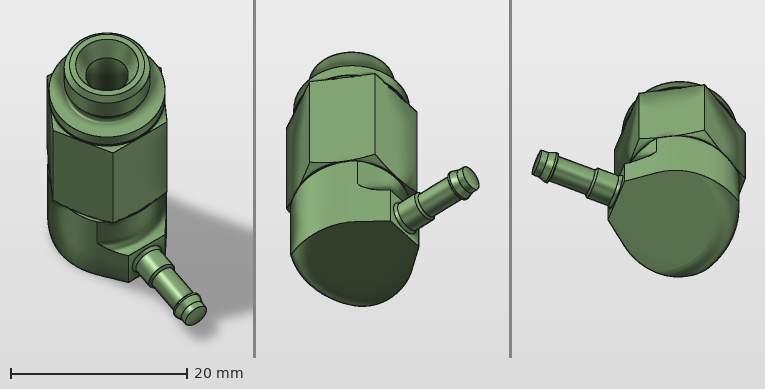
import cadquery as cq
import math

TOTAL_HEIGHT = 31.8
HEX_TOP = 25.05
HEX_BOTTOM = 10.72
ELBOW_TOP = 10.43

THREAD_RADIUS = 9.73 / 2
THREAD_CHAMFER = 0.6
THREAD_BOTTOM = 28.5
UNDERCUT_RADIUS = 8.55 / 2
UNDERCUT_CONE_RADIUS = 4.42
UNDERCUT_CONE_BOTTOM = 28.05
UNDERCUT_TOP = 27.75
COLLAR_RADIUS = 13.15 / 2
COLLAR_TOP = 26.95
COLLAR_BOTTOM = 25.35
UNDERCUT_FILLET = 0.55

ACROSS_FLATS = 13.0
ACROSS_CORNERS = ACROSS_FLATS / math.cos(math.radians(30))
SHOULDER_RADIUS = ACROSS_FLATS / 2
HEX_CHAMFER_ANGLE = 30
JOINT_RADIUS = THREAD_RADIUS

BORE_RADIUS = 4.8 / 2
BORE_MOUTH_RADIUS = 3.55
BORE_HALF_ANGLE = 30
BORE_DEPTH = 9.55

BODY_HALF_SIZE = ACROSS_FLATS / 2
SIDE_ARC_RADIUS = 7.85
BACK_CORNER_X = -5.5
FRONT_CORNER_X = 4.83
BODY_FILLET = 2.58

BLOCK_END = 7.8
BLOCK_TOP = 5.28
BLOCK_FILLET = BLOCK_END - BODY_HALF_SIZE
STEM_Z = 2.6
STEM_ROOT_RADIUS = 2.0
STEM_RADIUS = 3.6 / 2
HOSE_RADIUS = 3.0 / 2
STEM_ROOT_END = 8.2
STEM_END = 10.72
HOSE_START = 10.97
BARB_START = 15.5
BARB_CREST_START = 15.58
BARB_CREST_END = 15.85
BARB_END = 16.7
STEM_TIP_TAPER_START = 17.3
STEM_TIP = 17.5
STEM_TIP_RADIUS = 1.45


def side_y(x):
    """Half width of the elbow body on its side arc."""
    return math.sqrt(SIDE_ARC_RADIUS**2 - x**2) - (SIDE_ARC_RADIUS - BODY_HALF_SIZE)


def arc_radius(rise, half_chord):
    return (rise**2 + half_chord**2) / (2 * rise)


BACK_CORNER_Y = side_y(BACK_CORNER_X)
FRONT_CORNER_Y = side_y(FRONT_CORNER_X)
BACK_ARC_RADIUS = arc_radius(BODY_HALF_SIZE + BACK_CORNER_X, BACK_CORNER_Y)
FRONT_ARC_RADIUS = arc_radius(BODY_HALF_SIZE - FRONT_CORNER_X, FRONT_CORNER_Y)
BLOCK_SLOPE = FRONT_CORNER_X / math.sqrt(SIDE_ARC_RADIUS**2 - FRONT_CORNER_X**2)
BLOCK_END_Y = FRONT_CORNER_Y - BLOCK_SLOPE * (BLOCK_END - FRONT_CORNER_X)


def make_plug():
    """Turned plug with collar and shoulder, reaching down to the hexagon."""
    arc_mid = UNDERCUT_FILLET * (1 - math.sqrt(0.5))
    return (
        cq.Workplane("XZ")
        .moveTo(0, HEX_TOP)
        .lineTo(SHOULDER_RADIUS, HEX_TOP)
        .lineTo(SHOULDER_RADIUS, COLLAR_BOTTOM)
        .lineTo(COLLAR_RADIUS, COLLAR_BOTTOM)
        .lineTo(COLLAR_RADIUS, COLLAR_TOP)
        .lineTo(UNDERCUT_RADIUS + UNDERCUT_FILLET, COLLAR_TOP)
        .threePointArc(
            (UNDERCUT_RADIUS + arc_mid, COLLAR_TOP + arc_mid),
            (UNDERCUT_RADIUS, COLLAR_TOP + UNDERCUT_FILLET),
        )
        .lineTo(UNDERCUT_RADIUS, UNDERCUT_TOP)
        .tangentArcPoint((UNDERCUT_CONE_RADIUS, UNDERCUT_CONE_BOTTOM), relative=False)
        .lineTo(THREAD_RADIUS, THREAD_BOTTOM)
        .lineTo(THREAD_RADIUS, TOTAL_HEIGHT - THREAD_CHAMFER)
        .lineTo(THREAD_RADIUS - THREAD_CHAMFER, TOTAL_HEIGHT)
        .lineTo(0, TOTAL_HEIGHT)
        .close()
        .revolve(360, (0, 0), (0, 1))
    )


def make_hexagon():
    """Hexagon with corners on Y and its lower corners turned off."""
    prism = (
        cq.Workplane("XY", origin=(0, 0, HEX_BOTTOM))
        .polygon(6, ACROSS_CORNERS)
        .extrude(HEX_TOP - HEX_BOTTOM)
        .rotate((0, 0, 0), (0, 0, 1), 30)
    )
    corner_radius = ACROSS_CORNERS / 2
    chamfer_height = (corner_radius - SHOULDER_RADIUS) * math.tan(math.radians(HEX_CHAMFER_ANGLE))
    turned = (
        cq.Workplane("XZ")
        .moveTo(0, HEX_BOTTOM)
        .lineTo(SHOULDER_RADIUS, HEX_BOTTOM)
        .lineTo(corner_radius, HEX_BOTTOM + chamfer_height)
        .lineTo(corner_radius, HEX_TOP)
        .lineTo(0, HEX_TOP)
        .close()
        .revolve(360, (0, 0), (0, 1))
    )
    return prism.intersect(turned)


def body_outline_to_front():
    """Open outline from one front corner around the back to the other."""
    return (
        cq.Workplane("XY")
        .moveTo(FRONT_CORNER_X, FRONT_CORNER_Y)
        .threePointArc((0, BODY_HALF_SIZE), (BACK_CORNER_X, BACK_CORNER_Y))
        .threePointArc((-BODY_HALF_SIZE, 0), (BACK_CORNER_X, -BACK_CORNER_Y))
        .threePointArc((0, -BODY_HALF_SIZE), (FRONT_CORNER_X, -FRONT_CORNER_Y))
    )


def block_prism(height):
    """Body outline widened into the tapered outlet block."""
    return (
        body_outline_to_front()
        .lineTo(BLOCK_END, -BLOCK_END_Y)
        .lineTo(BLOCK_END, BLOCK_END_Y)
        .close()
        .extrude(height)
    )


def make_elbow():
    """Elbow body with outlet block, concave block fillet and rounded back."""
    body = (
        body_outline_to_front()
        .threePointArc((BODY_HALF_SIZE, 0), (FRONT_CORNER_X, FRONT_CORNER_Y))
        .close()
        .extrude(ELBOW_TOP)
    )
    fillet_axis_x = BODY_HALF_SIZE - FRONT_ARC_RADIUS
    fillet_top = BLOCK_TOP + BLOCK_FILLET
    fillet_inset = BLOCK_FILLET * (1 - math.sqrt(0.5))
    flare_reach = BLOCK_END + BLOCK_END_Y - fillet_axis_x
    flare = (
        cq.Workplane("XZ", origin=(fillet_axis_x, 0, 0))
        .lineTo(flare_reach, 0)
        .lineTo(flare_reach, BLOCK_TOP)
        .lineTo(FRONT_ARC_RADIUS + BLOCK_FILLET, BLOCK_TOP)
        .threePointArc(
            (FRONT_ARC_RADIUS + fillet_inset, BLOCK_TOP + fillet_inset),
            (FRONT_ARC_RADIUS, fillet_top),
        )
        .lineTo(0, fillet_top)
        .close()
        .revolve(360, (0, 0), (0, 1))
    )
    elbow = body.union(block_prism(fillet_top).intersect(flare))
    rounded_back = (
        cq.Workplane("XY", origin=(BACK_ARC_RADIUS - BODY_HALF_SIZE, 0, 0))
        .circle(BACK_ARC_RADIUS)
        .extrude(ELBOW_TOP)
        .faces("<Z")
        .edges()
        .fillet(BODY_FILLET)
    )
    return elbow.intersect(rounded_back)


def make_stem():
    """Stepped hose stem with one barb, turned about the outlet axis."""
    profile = [
        (BLOCK_END, 0),
        (BLOCK_END, STEM_ROOT_RADIUS),
        (STEM_ROOT_END, STEM_RADIUS),
        (STEM_END, STEM_RADIUS),
        (HOSE_START, HOSE_RADIUS),
        (BARB_START, HOSE_RADIUS),
        (BARB_CREST_START, STEM_RADIUS),
        (BARB_CREST_END, STEM_RADIUS),
        (BARB_END, HOSE_RADIUS),
        (STEM_TIP_TAPER_START, HOSE_RADIUS),
        (STEM_TIP, STEM_TIP_RADIUS),
        (STEM_TIP, 0),
    ]
    return (
        cq.Workplane("XZ", origin=(0, 0, STEM_Z))
        .polyline(profile)
        .close()
        .revolve(360, (0, 0), (1, 0))
    )


def make_bore():
    """Blind bore with a conical mouth."""
    cone_depth = (BORE_MOUTH_RADIUS - BORE_RADIUS) / math.tan(math.radians(BORE_HALF_ANGLE))
    bore_floor = TOTAL_HEIGHT - BORE_DEPTH
    return (
        cq.Workplane("XZ")
        .moveTo(0, bore_floor)
        .lineTo(BORE_RADIUS, bore_floor)
        .lineTo(BORE_RADIUS, TOTAL_HEIGHT - cone_depth)
        .lineTo(BORE_MOUTH_RADIUS, TOTAL_HEIGHT)
        .lineTo(0, TOTAL_HEIGHT)
        .close()
        .revolve(360, (0, 0), (0, 1))
    )


joint = (
    cq.Workplane("XY", origin=(0, 0, ELBOW_TOP))
    .circle(JOINT_RADIUS)
    .extrude(HEX_BOTTOM - ELBOW_TOP)
)
result = (
    make_plug()
    .union(make_hexagon())
    .union(joint)
    .union(make_elbow())
    .union(make_stem())
    .cut(make_bore())
)